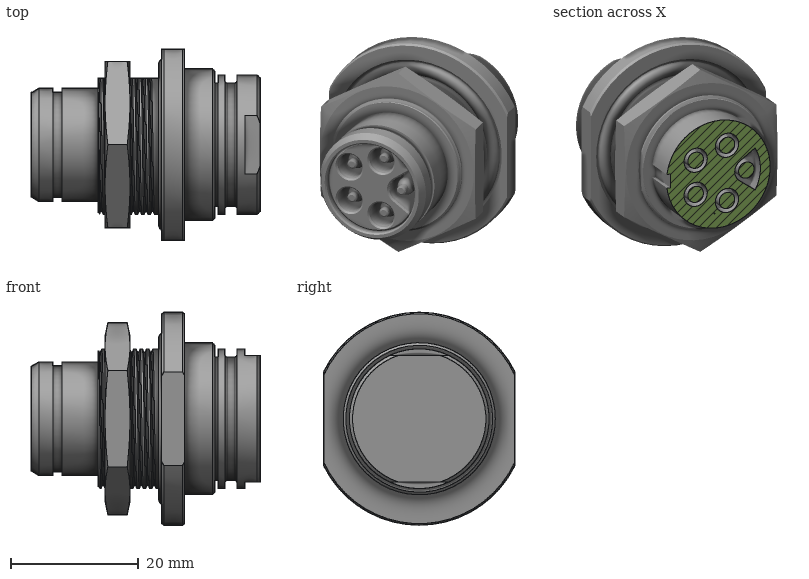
import cadquery as cq
import math


sleeve_radius = 8.92
sleeve_nose_radius = 8.2
sleeve_nose_length = 1.2
latch_groove_start = 3.4
latch_groove_end = 4.8
latch_groove_radius = 8.32
key_slot_width = 2.2
key_slot_floor = 8.26

thread_start = 10.5
thread_radius = 10.95
thread_root_radius = 10.45
thread_pitch = 1.0
thread_turns = 9.6
thread_chamfer = 0.35
thread_root_width = 0.2
thread_mouth_width = 0.65
thread_flat_distance = thread_root_radius

nut_start = 11.55
nut_end = 15.5
nut_across_flats = 26.1
nut_bore_radius = 10.75
nut_chamfer_radius = 12.9
nut_chamfer_angle = 12.0

flange_start = 20.45
flange_end = 24.05
flange_radius = 16.7
flange_width = 30.0
flange_chamfer_length = 0.35
flange_chamfer_depth = 0.25
seal_groove_radius = 14.1
seal_groove_fillet = 0.5
seal_section_radius = 1.05
seal_protrusion = 0.5

body_end = 28.8
body_radius = 11.92
body_chamfer = 0.42
neck_radius = 9.68
neck_fillet = 0.4
middle_ring_start = 29.3
middle_ring_end = 30.35
rear_ring_start = 32.25
rear_ring_radius = 10.95
rear_ring_chamfer = 0.5
rear_flat_start = 33.5
rear_flat_distance = 9.94
length = 35.9

bore_radius = 7.45
bore_chamfer = 0.22
insert_depth = 0.95
insert_chamfer = 0.28
contact_count = 5
contact_circle_radius = 4.8
well_radius = 2.07
well_floor_radius = 1.9
well_chamfer = 0.25
well_depth = 6.0
pin_radius = 1.37
pin_tip_radius = 0.51
pin_nose_radius = 0.76
pin_tip_chamfer_length = 0.12
pin_nose_length = 1.2
pin_shoulder_length = 1.0
pin_shoulder_radius = 1.2
signal_pin_tip = 2.0
ground_pin_tip = 1.0
ground_opening_angle = 35.0


def revolve_about_x(profile):
    """Revolve a closed XY profile a full turn around the X axis."""
    return profile.close().revolve(360, (0, 0, 0), (1, 0, 0))


def disc(start, end, radius):
    """Solid cylinder along X."""
    return cq.Workplane("YZ", origin=(start, 0, 0)).circle(radius).extrude(end - start)


def make_sleeve():
    profile = (
        cq.Workplane("XY")
        .lineTo(0, sleeve_nose_radius)
        .lineTo(sleeve_nose_length, sleeve_radius)
        .lineTo(latch_groove_start, sleeve_radius)
        .lineTo(latch_groove_start, latch_groove_radius)
        .lineTo(latch_groove_end, latch_groove_radius)
        .lineTo(latch_groove_end, sleeve_radius)
        .lineTo(thread_start, sleeve_radius)
        .lineTo(thread_start, 0)
    )
    key_height = sleeve_radius - key_slot_floor
    key_slot = cq.Workplane("XY").box(
        thread_start, 2 * key_height, key_slot_width, centered=(False, False, True)
    ).translate((0, key_slot_floor, 0))
    return revolve_about_x(profile).cut(key_slot)


def make_thread_groove():
    """Right-handed helical groove, deepest at the thread root."""
    overshoot = 0.1
    thread_depth = thread_radius - thread_root_radius
    flank_slope = (thread_mouth_width - thread_root_width) / 2 / thread_depth
    root_half = thread_root_width / 2
    outer_half = thread_mouth_width / 2 + overshoot * flank_slope
    outer_radius = thread_radius + overshoot
    helix = cq.Wire.makeHelix(thread_pitch, thread_pitch * thread_turns, thread_root_radius)
    groove = (
        cq.Workplane("XZ")
        .moveTo(thread_root_radius, -root_half)
        .lineTo(outer_radius, -outer_half)
        .lineTo(outer_radius, outer_half)
        .lineTo(thread_root_radius, root_half)
        .close()
        .sweep(cq.Workplane(helix), isFrenet=True)
    )
    lead_in = 0.75 * thread_pitch
    return (
        groove.rotate((0, 0, 0), (0, 0, 1), 180)
        .rotate((0, 0, 0), (0, 1, 0), 90)
        .translate((thread_start - lead_in, 0, 0))
    )


def make_threaded_barrel():
    barrel = disc(thread_start, flange_start, thread_radius).faces("<X").chamfer(thread_chamfer)
    barrel = barrel.cut(make_thread_groove())
    flat_cut = cq.Workplane("XY").box(
        flange_start - thread_start, thread_radius, 2 * thread_radius, centered=(False, False, True)
    ).translate((thread_start, thread_flat_distance, 0))
    return barrel.cut(flat_cut)


def make_nut():
    corner_radius = nut_across_flats / 2 / math.cos(math.pi / 6)
    thickness = nut_end - nut_start
    hexagon = (
        cq.Workplane("YZ", origin=(nut_start, 0, 0))
        .polygon(6, 2 * corner_radius)
        .extrude(thickness)
        .rotate((0, 0, 0), (1, 0, 0), 90)
    )
    chamfer_length = (corner_radius - nut_chamfer_radius) * math.tan(math.radians(nut_chamfer_angle))
    envelope = (
        cq.Workplane("XY")
        .moveTo(nut_start, 0)
        .lineTo(nut_start, nut_chamfer_radius)
        .lineTo(nut_start + chamfer_length, corner_radius)
        .lineTo(nut_end - chamfer_length, corner_radius)
        .lineTo(nut_end, nut_chamfer_radius)
        .lineTo(nut_end, 0)
    )
    bore = disc(nut_start, nut_end, nut_bore_radius)
    return hexagon.intersect(revolve_about_x(envelope)).cut(bore)


def make_flange():
    """Flange with two side flats and a seal ring seated in a round-cornered groove of its face."""
    groove_floor = flange_start + seal_groove_fillet
    seal_tip = flange_start - seal_protrusion
    seal_ring_radius = (seal_groove_radius + thread_radius) / 2
    seal_center_depth = groove_floor - (seal_tip + seal_section_radius)
    seal_half_width = math.sqrt(seal_section_radius**2 - seal_center_depth**2)
    profile = (
        cq.Workplane("XY")
        .moveTo(flange_start, 0)
        .lineTo(flange_start, thread_radius)
        .radiusArc((groove_floor, thread_radius + seal_groove_fillet), -seal_groove_fillet)
        .lineTo(groove_floor, seal_ring_radius - seal_half_width)
        .threePointArc((seal_tip, seal_ring_radius), (groove_floor, seal_ring_radius + seal_half_width))
        .lineTo(groove_floor, seal_groove_radius - seal_groove_fillet)
        .radiusArc((flange_start, seal_groove_radius), -seal_groove_fillet)
        .lineTo(flange_start, flange_radius - flange_chamfer_depth)
        .lineTo(flange_start + flange_chamfer_length, flange_radius)
        .lineTo(flange_end - flange_chamfer_length, flange_radius)
        .lineTo(flange_end, flange_radius - flange_chamfer_depth)
        .lineTo(flange_end, 0)
    )
    flats = cq.Workplane("XY").box(
        length, flange_width, 2 * flange_radius, centered=(False, True, True)
    )
    return revolve_about_x(profile).intersect(flats)


def make_rear_body():
    profile = (
        cq.Workplane("XY")
        .moveTo(flange_end, 0)
        .lineTo(flange_end, body_radius)
        .lineTo(body_end - body_chamfer, body_radius)
        .lineTo(body_end, body_radius - body_chamfer)
        .lineTo(body_end, neck_radius)
        .lineTo(middle_ring_start, neck_radius)
        .lineTo(middle_ring_start, rear_ring_radius)
        .lineTo(middle_ring_end, rear_ring_radius)
        .lineTo(middle_ring_end, neck_radius + neck_fillet)
        .radiusArc((middle_ring_end + neck_fillet, neck_radius), -neck_fillet)
        .lineTo(rear_ring_start - neck_fillet, neck_radius)
        .radiusArc((rear_ring_start, neck_radius + neck_fillet), -neck_fillet)
        .lineTo(rear_ring_start, rear_ring_radius)
        .lineTo(length - rear_ring_chamfer, rear_ring_radius)
        .lineTo(length, rear_ring_radius - rear_ring_chamfer)
        .lineTo(length, 0)
    )
    body = revolve_about_x(profile)
    for side in (1, -1):
        flat_cut = cq.Workplane("XY").box(length, 2 * rear_ring_radius, rear_ring_radius).translate(
            (rear_flat_start + length / 2, 0, side * (rear_flat_distance + rear_ring_radius / 2))
        )
        body = body.cut(flat_cut)
    return body


def make_insert_bore():
    """Shallow recess at the mating face, with a chamfered mouth and a bevelled rim around its floor."""
    profile = (
        cq.Workplane("XY")
        .lineTo(0, bore_radius + bore_chamfer)
        .lineTo(bore_chamfer, bore_radius)
        .lineTo(insert_depth + insert_chamfer, bore_radius)
        .lineTo(insert_depth, bore_radius - insert_chamfer)
        .lineTo(insert_depth, 0)
    )
    return revolve_about_x(profile)


def make_signal_well():
    """Slightly tapered round well along X with a chamfered mouth, centred on the axis."""
    profile = (
        cq.Workplane("XY")
        .moveTo(insert_depth, 0)
        .lineTo(insert_depth, well_radius + well_chamfer)
        .lineTo(insert_depth + well_chamfer, well_radius)
        .lineTo(insert_depth + well_depth, well_floor_radius)
        .lineTo(insert_depth + well_depth, 0)
    )
    return revolve_about_x(profile)


def ground_outline(start, radius):
    """Round well of the given radius that widens outwards (-Y) past the bore wall."""
    angle = math.radians(ground_opening_angle)
    tangent_y = -contact_circle_radius + radius * math.sin(angle)
    tangent_z = radius * math.cos(angle)
    outer_y = -bore_radius - well_radius
    outer_z = tangent_z + (tangent_y - outer_y) * math.tan(angle)
    return (
        cq.Workplane("YZ", origin=(start, 0, 0))
        .moveTo(outer_y, -outer_z)
        .lineTo(tangent_y, -tangent_z)
        .threePointArc((-contact_circle_radius + radius, 0), (tangent_y, tangent_z))
        .lineTo(outer_y, outer_z)
        .close()
    )


def make_ground_well():
    wall_taper = math.degrees(math.atan((well_radius - well_floor_radius) / well_depth))
    well = ground_outline(insert_depth, well_radius).extrude(well_depth, taper=wall_taper)
    mouth = ground_outline(insert_depth + well_chamfer, well_radius).extrude(-well_chamfer, taper=-45)
    return well.union(mouth).intersect(disc(0, insert_depth + well_depth, bore_radius - insert_chamfer))


def make_pin(tip):
    """Contact pin with a chamfered flat tip, a slim nose and a rounded shoulder, centred on the axis."""
    nose_end = tip + pin_nose_length
    profile = (
        cq.Workplane("XY")
        .moveTo(tip, 0)
        .lineTo(tip, pin_tip_radius)
        .lineTo(tip + pin_tip_chamfer_length, pin_nose_radius)
        .lineTo(nose_end, pin_nose_radius)
        .radiusArc((nose_end + pin_shoulder_length, pin_radius), pin_shoulder_radius)
        .lineTo(insert_depth + well_depth, pin_radius)
        .lineTo(insert_depth + well_depth, 0)
    )
    return revolve_about_x(profile)


def place_contact(shape, index):
    """Move a centred shape to one of the contact places, counted from the ground contact at -Y."""
    angle = 2 * math.pi * index / contact_count
    return shape.translate(
        (0, -contact_circle_radius * math.cos(angle), contact_circle_radius * math.sin(angle))
    )


result = (
    make_sleeve()
    .union(make_threaded_barrel())
    .union(make_nut())
    .union(make_flange())
    .union(make_rear_body())
    .cut(make_insert_bore())
    .cut(make_ground_well())
    .union(place_contact(make_pin(ground_pin_tip), 0))
)
for contact in range(1, contact_count):
    result = result.cut(place_contact(make_signal_well(), contact))
    result = result.union(place_contact(make_pin(signal_pin_tip), contact))